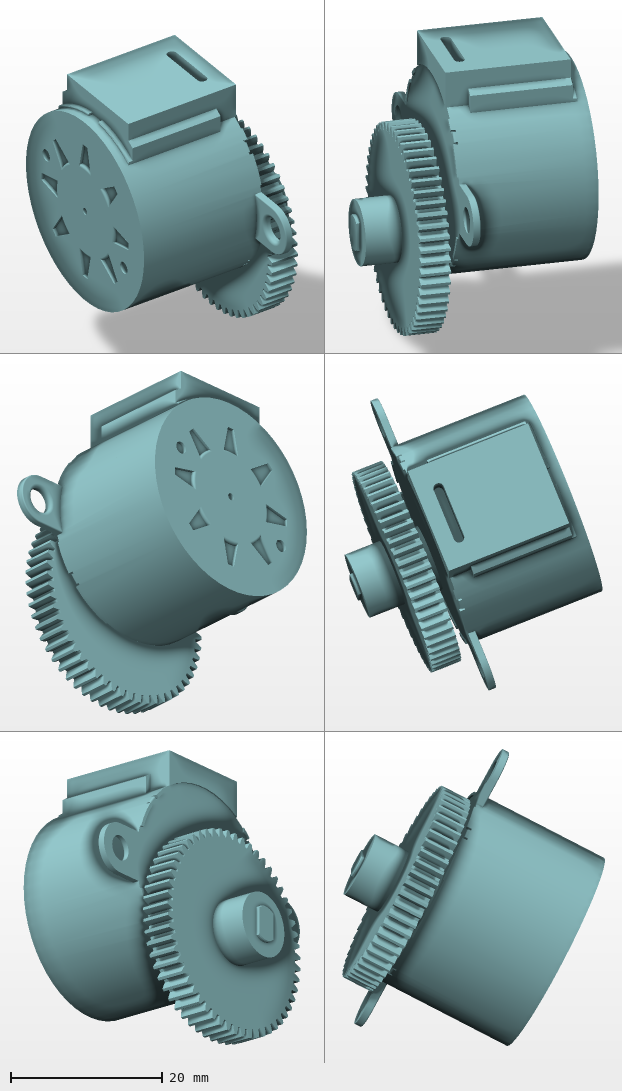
import cadquery as cq
import math


can_diameter = 28.0
can_radius = can_diameter / 2
can_length = 19.0
sheet = 0.5
rim_height = 0.2
rim_back = can_length + rim_height
rim_gap_width = 8.8
connector_gap_width = 17.47

crimp_angle = 40.5
crimp_slot_width = 2.0
crimp_tab_width = 1.43
crimp_slot_depth = 0.7
crimp_slot_inset = 0.65
crimp_tab_radius = 0.25

pocket_count = 8
pocket_depth = sheet
pocket_inner = 6.4
pocket_outer = 10.35
pocket_inner_width = 2.75
pocket_outer_width = 1.1
pocket_floor_diameter = 13.78
pocket_edge_radius = 0.38
axle_hole_diameter = 1.0
dimple_diameter = 1.72
dimple_orbit = 10.0
dimple_angles = (157, 337)

overall_width = 42.0
ear_width = 7.0
ear_thickness = 1.0
ear_spacing = overall_width - ear_width
ear_front = can_length - ear_thickness
ear_edge_radius = 0.15
ear_hole_diameter = 3.5
ear_hole_rounding = 0.5

block_width = 14.55
block_top = 17.0
block_front = 2.0
skirt_width = 16.6
skirt_back = 16.05
shoulder_top = 14.35
shoulder_bottom = 13.75
cable_slot_length = 8.53
cable_slot_width = 1.43
cable_slot_y = 16.25
cable_slot_depth = block_top - can_radius
lip_thickness = 0.67
lip_height = 0.38
lip_edge_radius = 0.2
lip_gap = 2.35

shaft_drop = 8.0
boss_diameter = 9.0
boss_back = 20.25
shaft_diameter = 5.0
shaft_flats = 3.0
shaft_end = 29.8
shaft_end_chamfer = 0.13

tooth_count = 55
gear_tip_diameter = 28.5
gear_module = gear_tip_diameter / (tooth_count + 2)
pressure_angle = math.radians(20)
dedendum_factor = 1.25
gear_width = 4.1
gear_front = boss_back
gear_back = gear_front + gear_width
hub_diameter = boss_diameter
hub_back = 29.3
flank_points = 5


def sketch_at(y, x=0, z=0):
    """Sketch plane facing the front: local axes are X and Z."""
    return cq.Workplane("XZ", origin=(x, y, z))


def cylinder(diameter, y_start, y_end, x=0, z=0):
    """Cylinder along Y between two depths."""
    return sketch_at(y_start, x, z).circle(diameter / 2).extrude(y_start - y_end)


def block(width, z_low, z_high, y_start, y_end):
    """Box centred on X = 0."""
    size = (width, y_end - y_start, z_high - z_low)
    return cq.Workplane().box(*size, centered=(True, False, False)).translate((0, y_start, z_low))


def turned(shape, angle):
    """Shape turned about the motor axis, counter-clockwise as seen from the front."""
    return shape.rotate((0, 0, 0), (0, -1, 0), angle)


def make_rim():
    """Raised edge of the can around the back plate, open at the block, the ears and the bottom."""
    rim = cylinder(can_diameter, can_length, rim_back).cut(
        cylinder(can_diameter - 2 * sheet, can_length, rim_back)
    )
    rim = rim.cut(block(connector_gap_width, 0, can_radius, can_length, rim_back))
    gap = block(rim_gap_width, 0, can_radius, can_length, rim_back)
    for angle in (90, 180, 270):
        rim = rim.cut(turned(gap, angle))
    return rim


def make_crimp_slot():
    """Slot in the edge of the can with a folded tab left standing in it, at the top of the can."""
    slot_floor = rim_back - crimp_slot_depth
    slot_bottom = can_radius - crimp_slot_inset
    slot_top = can_radius + sheet
    slot = block(crimp_slot_width, slot_bottom, slot_top, slot_floor, rim_back)
    tab = cylinder(can_diameter, slot_floor, can_length).faces(">Y").edges().fillet(crimp_tab_radius)
    tab = tab.intersect(block(crimp_tab_width, slot_bottom, slot_top, slot_floor, can_length))
    return slot.cut(tab)


def make_front_pocket():
    """Tapered pocket above the axis, ending inward at an arc with a rounded edge."""
    pocket = (
        sketch_at(0)
        .polyline(
            [
                (-pocket_inner_width / 2, pocket_inner),
                (pocket_inner_width / 2, pocket_inner),
                (pocket_outer_width / 2, pocket_outer),
                (-pocket_outer_width / 2, pocket_outer),
            ]
        )
        .close()
        .extrude(-pocket_depth)
    )
    centre = cylinder(pocket_floor_diameter, 0, pocket_depth)
    return pocket.cut(centre.faces("<Y").edges().fillet(pocket_edge_radius))


def make_ear(side):
    """Flat mounting ear on one side, with a rounded front edge and hole mouth."""
    hole_x = side * ear_spacing / 2
    ear = cylinder(ear_width, ear_front, can_length, hole_x)
    bar = block(ear_spacing / 2, -ear_width / 2, ear_width / 2, ear_front, can_length)
    ear = ear.union(bar.translate((hole_x / 2, 0, 0)))
    ear = ear.faces("<Y").edges().fillet(ear_edge_radius)
    ear = ear.cut(cylinder(ear_hole_diameter, ear_front, can_length, hole_x))
    hole_mouth = cq.selectors.RadiusNthSelector(0)
    return ear.faces("<Y").edges("%CIRCLE").edges(hole_mouth).fillet(ear_hole_rounding)


def make_cable_block():
    """Block seated on the can, with a wider skirt, a cable slot and two lips at the front."""
    skirt = (
        sketch_at(block_front)
        .polyline(
            [
                (-skirt_width / 2, 0),
                (skirt_width / 2, 0),
                (skirt_width / 2, shoulder_bottom),
                (block_width / 2, shoulder_top),
                (-block_width / 2, shoulder_top),
                (-skirt_width / 2, shoulder_bottom),
            ]
        )
        .close()
        .extrude(block_front - skirt_back)
    )
    cable_slot = (
        cq.Workplane("XY", origin=(0, cable_slot_y, block_top))
        .slot2D(cable_slot_length, cable_slot_width)
        .extrude(-cable_slot_depth)
    )
    upper = block(block_width, 0, block_top, block_front, rim_back)
    upper = upper.cut(cylinder(can_diameter, can_length, rim_back))
    return upper.union(skirt).union(make_lips()).cut(cable_slot)


def make_lips():
    """Two thin curved lips that hug the can in front of the cable block."""
    lip_front = block_front - lip_thickness
    lips = cylinder(can_diameter + 2 * lip_height, lip_front, block_front)
    lips = lips.faces("<Y").edges().fillet(lip_edge_radius)
    lips = lips.intersect(block(skirt_width, 0, block_top, lip_front, block_front))
    return lips.cut(block(lip_gap, 0, block_top, lip_front, block_front))


def make_shaft(chamfer):
    """Output shaft with two flats facing left and right."""
    shaft = cylinder(shaft_diameter, can_length, shaft_end, z=-shaft_drop)
    if chamfer > 0:
        shaft = shaft.faces(">Y").chamfer(chamfer)
    z_low = -shaft_drop - shaft_diameter / 2
    z_high = -shaft_drop + shaft_diameter / 2
    return shaft.intersect(block(shaft_flats, z_low, z_high, can_length, shaft_end))


def make_motor():
    """Can, ears, cable block, boss and output shaft as one solid."""
    motor = cylinder(can_diameter, 0, can_length).union(make_rim())

    crimp_slot = make_crimp_slot()
    for angle in (90 - crimp_angle, 90 + crimp_angle):
        motor = motor.cut(turned(crimp_slot, angle)).cut(turned(crimp_slot, -angle))

    motor = motor.union(make_cable_block())
    for side in (-1, 1):
        motor = motor.union(make_ear(side))

    pocket = make_front_pocket()
    for index in range(pocket_count):
        motor = motor.cut(turned(pocket, index * 360 / pocket_count))
    motor = motor.cut(cylinder(axle_hole_diameter, 0, sheet))
    for angle in dimple_angles:
        motor = motor.cut(turned(cylinder(dimple_diameter, 0, sheet, dimple_orbit), angle))

    motor = motor.union(cylinder(boss_diameter, can_length, boss_back, z=-shaft_drop))
    return motor.union(make_shaft(shaft_end_chamfer))


def involute_roll(angle):
    """Polar angle of an involute where its pressure angle has the given value."""
    return math.tan(angle) - angle


def polar(radius, angle):
    return (radius * math.cos(angle), radius * math.sin(angle))


def gear_outline():
    """Closed outline of an involute spur gear, with one tooth centred on +X."""
    pitch_radius = gear_module * tooth_count / 2
    base_radius = pitch_radius * math.cos(pressure_angle)
    tip_radius = gear_tip_diameter / 2
    root_radius = pitch_radius - dedendum_factor * gear_module
    tooth_pitch = 2 * math.pi / tooth_count

    def half_angle(radius):
        """Half the angle that a tooth takes up at this radius."""
        local_pressure = math.acos(base_radius / radius)
        return tooth_pitch / 4 + involute_roll(pressure_angle) - involute_roll(local_pressure)

    step = (tip_radius - root_radius) / (flank_points - 1)
    radii = [root_radius + index * step for index in range(flank_points)]

    outline = sketch_at(gear_front, z=-shaft_drop)
    outline = outline.moveTo(*polar(root_radius, -half_angle(root_radius)))
    for index in range(tooth_count):
        middle = index * tooth_pitch
        rising = [polar(radius, middle - half_angle(radius)) for radius in radii]
        falling = [polar(radius, middle + half_angle(radius)) for radius in reversed(radii)]
        next_root = polar(root_radius, middle + tooth_pitch - half_angle(root_radius))
        outline = outline.spline(rising[1:], includeCurrent=True)
        outline = outline.threePointArc(polar(tip_radius, middle), falling[0])
        outline = outline.spline(falling[1:], includeCurrent=True)
        outline = outline.threePointArc(polar(root_radius, middle + tooth_pitch / 2), next_root)
    return outline.close()


def make_gear():
    """Spur gear with a hub behind it and a bore that fits the flatted shaft."""
    gear = gear_outline().extrude(-gear_width)
    gear = gear.union(cylinder(hub_diameter, gear_back, hub_back, z=-shaft_drop))
    return gear.cut(make_shaft(chamfer=0))


motor = make_motor()
gear = make_gear()
result = cq.Compound.makeCompound([motor.val(), gear.val()])